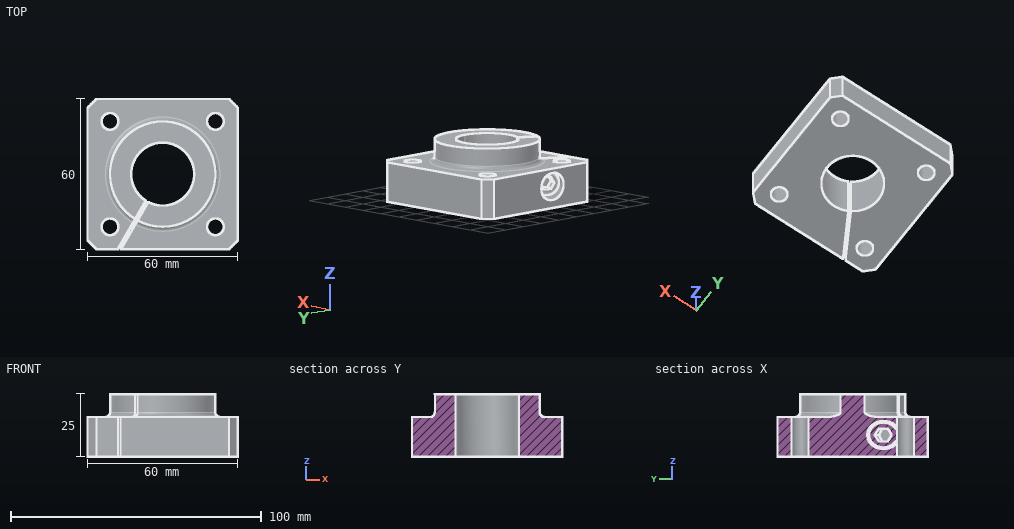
import cadquery as cq
import math

SIDE = 60.0
BASE_HEIGHT = 16.0
CORNER_CHAMFER = 3.6

TOTAL_HEIGHT = 25.0
HUB_DIAMETER = 42.0
HUB_FILLET = 1.8
BORE_DIAMETER = 25.0

MOUNT_SPACING = 42.0
MOUNT_DIAMETER = 6.6

SLIT_WIDTH = 1.0
SLIT_ANGLE = 240.0

SCREW_RADIUS_FROM_BORE = 20.75
SCREW_HEIGHT = 8.75
COUNTERBORE_DIAMETER = 11.0
HEAD_DIAMETER = 10.0
HEAD_LENGTH = 6.0
HEAD_FILLET = 0.85
HEAD_FACE_TO_SLIT = 15.0
SOCKET_FLATS = 5.0
SOCKET_DEPTH = 5.0


def make_flange_and_hub():
    """Chamfered square flange with a filleted hub and the through holes."""
    flange = (
        cq.Workplane("XY")
        .rect(SIDE, SIDE)
        .extrude(BASE_HEIGHT)
        .edges("|Z")
        .chamfer(CORNER_CHAMFER)
    )
    hub_radius = HUB_DIAMETER / 2
    fillet_start = BASE_HEIGHT + HUB_FILLET
    fillet_sag = HUB_FILLET * (1 - math.sqrt(0.5))
    hub = (
        cq.Workplane("XZ")
        .lineTo(hub_radius + HUB_FILLET, 0)
        .lineTo(hub_radius + HUB_FILLET, BASE_HEIGHT)
        .threePointArc(
            (hub_radius + fillet_sag, BASE_HEIGHT + fillet_sag),
            (hub_radius, fillet_start),
        )
        .lineTo(hub_radius, TOTAL_HEIGHT)
        .lineTo(0, TOTAL_HEIGHT)
        .close()
        .revolve(360, (0, 0, 0), (0, 1, 0))
        .rotate((0, 0, 0), (0, 0, 1), SLIT_ANGLE)
    )
    bore = cq.Workplane("XY").circle(BORE_DIAMETER / 2).extrude(TOTAL_HEIGHT)
    mount_holes = (
        cq.Workplane("XY")
        .rect(MOUNT_SPACING, MOUNT_SPACING, forConstruction=True)
        .vertices()
        .circle(MOUNT_DIAMETER / 2)
        .extrude(BASE_HEIGHT)
    )
    return flange.union(hub).cut(bore).cut(mount_holes)


def make_slit():
    """Thin radial cut from the bore out through the flange edge."""
    return (
        cq.Workplane("XY")
        .rect(SIDE, SLIT_WIDTH)
        .extrude(TOTAL_HEIGHT)
        .translate((SIDE / 2, 0, 0))
        .rotate((0, 0, 0), (0, 0, 1), SLIT_ANGLE)
    )


def screw_plane():
    """Plane of the screw head face, with its normal pointing out of the part."""
    slit = math.radians(SLIT_ANGLE)
    along_slit = cq.Vector(math.cos(slit), math.sin(slit), 0)
    outward = cq.Vector(math.sin(slit), -math.cos(slit), 0)
    centre = along_slit * SCREW_RADIUS_FROM_BORE + outward * HEAD_FACE_TO_SLIT
    origin = centre + cq.Vector(0, 0, SCREW_HEIGHT)
    return cq.Plane(origin=origin, xDir=along_slit, normal=outward)


def make_counterbore():
    """Pocket from the head seat out through the side of the flange."""
    return (
        cq.Workplane(screw_plane())
        .workplane(offset=-HEAD_LENGTH)
        .circle(COUNTERBORE_DIAMETER / 2)
        .extrude(SIDE / 2)
    )


def make_screw_head():
    """Round head with a rounded rim and a hexagon socket."""
    socket_corners = SOCKET_FLATS / math.cos(math.pi / 6)
    head = (
        cq.Workplane(screw_plane())
        .circle(HEAD_DIAMETER / 2)
        .extrude(-HEAD_LENGTH)
        .edges(cq.NearestToPointSelector(screw_plane().origin.toTuple()))
        .fillet(HEAD_FILLET)
    )
    socket = cq.Workplane(screw_plane()).polygon(6, socket_corners).extrude(-SOCKET_DEPTH)
    return head.cut(socket)


result = (
    make_flange_and_hub()
    .cut(make_counterbore())
    .union(make_screw_head())
    .cut(make_slit())
)